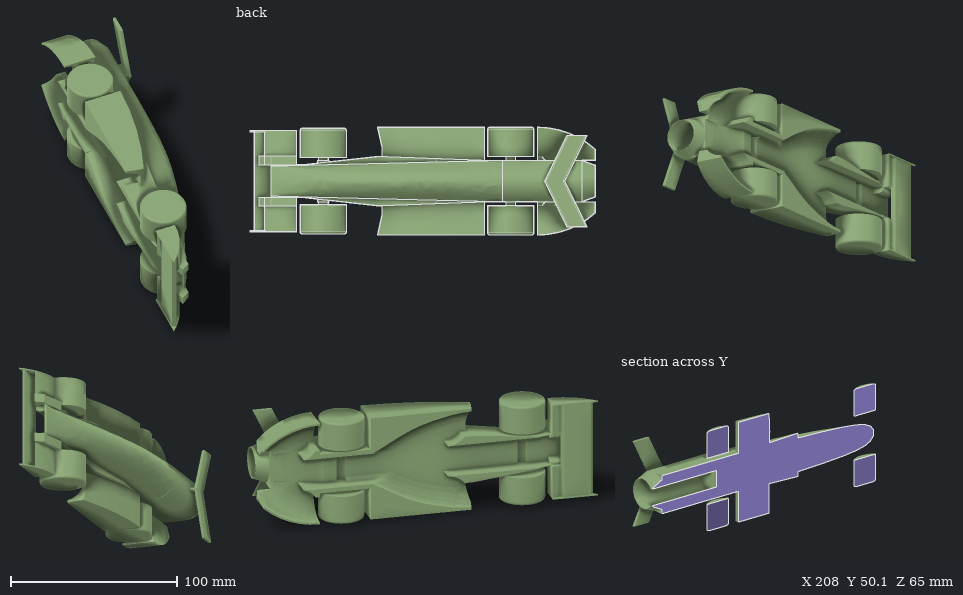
import cadquery as cq
import math


floor_y = -10.0
ceiling_y = 0.0
half_width = 32.5
tunnel_half_width = 9.75
leg_half_width = 12.5

wheel_diameter = 28.0
wheel_round = 1.5
axle_diameter = 6.0
collar_diameter = 7.0
rear_axle_x = 51.0
front_axle_x = 163.9
rear_wheel_z = (14.8, half_width)
front_wheel_z = (14.1, 31.9)

housing_radius = leg_half_width
housing_y = 19.0
housing_front_x = 56.0
tail_cone_length = 8.0
tail_radius = 9.6
chamber_diameter = 19.0
chamber_depth = 50.0

ramp_start_y = housing_y - housing_radius
ramp_end_x = 40.0
tunnel_round = 3.0
tunnel_round_end_x = 86.0

canopy_end_x = 195.5
canopy_base_start_y = 18.1
canopy_base_slope = -0.123
canopy_end_half_width = 9.0
canopy_tops = (
    (housing_front_x, housing_y + housing_radius),
    (90.0, 30.8),
    (118.0, 26.9),
    (148.0, 19.2),
    (172.0, 10.8),
    (canopy_end_x, 1.5),
)

leg_tail_x = 25.0
leg_tail_middle = (29.3, 11.7)
leg_step_x = 32.2
leg_top_y = 6.0

fender_length = 35.0
fender_radius = 52.4
fender_lip = 1.2
fender_scoop_radius = 15.3
fender_ceiling_y = floor_y + fender_scoop_radius
fender_top_y = 10.3
fender_top_slope = 0.24

pod_rear_x = 66.7
pod_front_x = 131.3
pod_front_inner_x = 128.6
pod_front_inner_z = 20.4
pod_top_y = 13.2
pod_front_y = 1.1
pod_undercut_y = -2.0
pod_undercut = 1.7
pod_top_middle = (104.0, 8.9)
pod_scoop_radius = 10.0
pod_scoop_path = ((69.0, 0.5), (82.2, 6.7), (98.0, 14.6), (115.5, 19.6), (133.0, 21.3))
pod_scoop_directions = ((1, 0.3), (1, 0))

leg_start_x = 115.0
leg_curve_middle = (121.5, 11.6)
leg_shoulder_x = 125.5
leg_shoulder_z = 14.9
leg_taper_x = 175.0
leg_front_half_width = 10.0
leg_chamfer_x = 171.2
leg_front_y = -7.1

wing_rear_x = 180.0
wing_length = 28.03
end_plate_z = 30.5
end_plate_thickness = 0.8
end_plate_top_y = 0.7
end_plate_bottom_y = -11.8
flap_top = ((wing_rear_x, 5.1), (188.0, 3.4), (canopy_end_x, 1.4))
flap_half_span = 15.0
flap_front_x = 199.3
flap_tip = (202.6, -3.6)
flap_rear_bottom_y = -10.9
plate_top_y = -9.2
plate_bottom_y = -11.1
plate_top_x = (185.4, 205.6)
plate_bottom_x = (187.2, 203.8)
pad_inner_z = 6.9
pad_bottom_y = -6.9
pad_front_x = 192.0
pad_round = 2.0

rear_wing_half_span = 27.5
rear_wing_tip_x = 5.1
rear_wing_root_x = 18.5
rear_wing_chord = 12.1
rear_wing_top_y = 36.12
rear_wing_thickness = 2.0
rear_wing_edge_round = 0.9
post_x = (18.3, 29.8)
post_thickness = 2.0


def plan(height):
    """Workplane lying flat at a height, with local x along X and local y along Z; extrudes downwards."""
    return cq.Workplane(cq.Plane(origin=(0, height, 0), xDir=(1, 0, 0), normal=(0, -1, 0)))


def side_profile(offset=0.0):
    """Workplane of a side elevation, with local axes X and Y; extrudes towards +Z."""
    return cq.Workplane("XY", origin=(0, 0, offset))


def mirrored(shape):
    return shape.union(shape.mirror("XY"))


def cross_cylinder(x, diameter, z_start, z_end):
    """Cylinder across the car at axle height."""
    return side_profile(z_start).center(x, 0).circle(diameter / 2).extrude(z_end - z_start)


def canopy_base(x):
    return canopy_base_start_y + canopy_base_slope * (x - housing_front_x)


def canopy_half_width(x):
    progress = (x - housing_front_x) / (canopy_end_x - housing_front_x)
    return housing_radius + (canopy_end_half_width - housing_radius) * progress


def make_housing():
    """Tail cone and round-topped housing with straight sides, and the tunnel ramp under it."""
    barrel = (
        cq.Workplane("YZ")
        .center(housing_y, 0)
        .circle(tail_radius)
        .workplane(offset=tail_cone_length)
        .circle(housing_radius)
        .loft()
        .union(
            cq.Workplane("YZ", origin=(tail_cone_length, housing_y, 0))
            .circle(housing_radius)
            .extrude(housing_front_x - tail_cone_length)
        )
    )
    ramp_run = ramp_end_x - tail_cone_length
    ramp_drop = ramp_start_y - ceiling_y
    ramp_radius = (ramp_run**2 + ramp_drop**2) / (2 * ramp_drop)
    ramp_middle_drop = ramp_radius - math.sqrt(ramp_radius**2 - (ramp_run / 2) ** 2)
    ramp = (
        side_profile(-tunnel_half_width)
        .moveTo(tail_cone_length, housing_y)
        .lineTo(tail_cone_length, ramp_start_y)
        .threePointArc(
            (tail_cone_length + ramp_run / 2, ramp_start_y - ramp_middle_drop),
            (ramp_end_x, ceiling_y),
        )
        .lineTo(housing_front_x, ceiling_y)
        .lineTo(housing_front_x, housing_y)
        .close()
        .extrude(2 * tunnel_half_width)
    )
    straight_side = (
        plan(housing_y)
        .polyline([
            (tail_cone_length, tunnel_half_width),
            (tail_cone_length, housing_radius),
            (housing_front_x, housing_radius),
            (housing_front_x, tunnel_half_width),
        ])
        .close()
        .extrude(housing_y - fender_ceiling_y)
    )
    return barrel.union(mirrored(straight_side)).union(ramp)


def make_rear_leg():
    """Leg from the fender to the pod, its tail end curving outwards."""
    return (
        plan(leg_top_y)
        .moveTo(leg_tail_x, tunnel_half_width)
        .threePointArc(leg_tail_middle, (leg_step_x, leg_shoulder_z))
        .lineTo(fender_length, leg_shoulder_z)
        .lineTo(fender_length, leg_half_width)
        .lineTo(pod_rear_x, leg_half_width)
        .lineTo(pod_rear_x, tunnel_half_width)
        .close()
        .extrude(leg_top_y - floor_y)
    )


def make_canopy():
    """Half-elliptical sections that shrink along the falling roof line."""
    sections = cq.Workplane("YZ")
    last_x = 0
    for x, top_y in canopy_tops:
        base_y = canopy_base(x)
        half = canopy_half_width(x)
        sections = (
            sections.workplane(offset=x - last_x)
            .moveTo(base_y, half)
            .lineTo(base_y, -half)
            .ellipseArc(top_y - base_y, half, -90, 90, startAtCurrent=True, sense=1)
            .close()
        )
        last_x = x
    return sections.loft(ruled=False, combine=True)


def make_spine():
    """Core below the canopy, with shoulders that run out to the pods and on to the nose."""
    core_outline = [
        (housing_front_x, canopy_half_width(housing_front_x)),
        (canopy_end_x, canopy_half_width(canopy_end_x)),
        (canopy_end_x, 0),
        (housing_front_x, 0),
    ]
    core = plan(canopy_base_start_y).polyline(core_outline).close().extrude(canopy_base_start_y - ceiling_y)
    shoulder_outline = [
        (housing_front_x, leg_half_width),
        (pod_rear_x, leg_half_width),
        (pod_front_x, leg_shoulder_z),
        (leg_taper_x, leg_front_half_width),
        (canopy_end_x, leg_front_half_width),
        (canopy_end_x, 0),
        (housing_front_x, 0),
    ]
    shoulder = plan(pod_top_y).polyline(shoulder_outline).close().extrude(pod_top_y - ceiling_y)
    below_canopy = (
        side_profile(-half_width)
        .polyline([
            (housing_front_x, ceiling_y),
            (housing_front_x, canopy_base(housing_front_x)),
            (canopy_end_x, canopy_base(canopy_end_x)),
            (canopy_end_x, ceiling_y),
        ])
        .close()
        .extrude(2 * half_width)
    )
    return mirrored(core.union(shoulder).intersect(below_canopy))


def make_fender():
    """Tail fender with a curved flank, a dished top and a quarter-round scoop swept under it."""
    centre_z = half_width - fender_radius
    tail_z = centre_z + math.sqrt(fender_radius**2 - fender_length**2)
    half_angle = math.asin(fender_length / fender_radius) / 2
    middle = (
        fender_length - fender_radius * math.sin(half_angle),
        centre_z + fender_radius * math.cos(half_angle),
    )
    blank = (
        plan(fender_top_y)
        .moveTo(0, leg_half_width)
        .lineTo(0, tail_z)
        .threePointArc(middle, (fender_length, half_width))
        .lineTo(fender_length, tunnel_half_width)
        .lineTo(tail_cone_length, tunnel_half_width)
        .lineTo(tail_cone_length, leg_half_width)
        .close()
        .extrude(fender_top_y - floor_y)
    )
    top_drop = fender_top_slope * half_width
    above_top = (
        cq.Workplane("YZ")
        .polyline([
            (fender_top_y, half_width),
            (fender_top_y - top_drop, 0),
            (fender_top_y, 0),
        ])
        .close()
        .extrude(fender_length)
    )
    scoop_edge = fender_radius - fender_lip
    scoop_centre = scoop_edge - fender_scoop_radius
    scoop = (
        cq.Workplane("YZ", origin=(fender_length, 0, centre_z))
        .moveTo(floor_y, 0)
        .lineTo(floor_y, scoop_edge)
        .radiusArc((fender_ceiling_y, scoop_centre), fender_scoop_radius)
        .lineTo(fender_ceiling_y, 0)
        .close()
        .revolve(360, (0, 0), (1, 0))
    )
    return blank.cut(above_top).cut(scoop)


def make_pod():
    """Side pod with an arched top and a slanted front, before its scoop is cut."""
    outline = [
        (pod_rear_x, tunnel_half_width),
        (pod_rear_x, half_width),
        (pod_front_x, half_width),
        (pod_front_inner_x, pod_front_inner_z),
        (pod_front_inner_x, tunnel_half_width),
    ]
    blank = plan(pod_top_y).polyline(outline).close().extrude(pod_top_y - floor_y)
    side = (
        side_profile()
        .moveTo(pod_rear_x, floor_y)
        .lineTo(pod_rear_x, pod_top_y)
        .threePointArc(pod_top_middle, (pod_front_x, pod_front_y))
        .lineTo(pod_front_x, pod_undercut_y)
        .lineTo(pod_front_x - pod_undercut, floor_y)
        .close()
        .extrude(half_width)
    )
    return blank.intersect(side)


def make_tunnel_corner():
    """Concave rounding where the tunnel ceiling meets its wall."""
    return (
        cq.Workplane("YZ", origin=(rear_axle_x + axle_diameter / 2, ceiling_y, 0))
        .moveTo(0, tunnel_half_width - tunnel_round)
        .lineTo(0, tunnel_half_width)
        .lineTo(-tunnel_round, tunnel_half_width)
        .radiusArc((0, tunnel_half_width - tunnel_round), tunnel_round)
        .close()
        .extrude(tunnel_round_end_x - rear_axle_x - axle_diameter / 2)
    )


def make_pod_scoop():
    """Round channel swept along the pod, open inwards to the middle of the car."""
    start = pod_scoop_path[0]
    channel = (
        cq.Workplane("YZ", origin=(start[0], floor_y, start[1]))
        .circle(pod_scoop_radius)
        .sweep(plan(floor_y).spline(pod_scoop_path, tangents=pod_scoop_directions))
    )
    inside = (
        plan(ceiling_y)
        .moveTo(*start)
        .spline(pod_scoop_path[1:], tangents=pod_scoop_directions, includeCurrent=True)
        .lineTo(pod_scoop_path[-1][0], 0)
        .lineTo(start[0], 0)
        .close()
        .extrude(ceiling_y - floor_y)
    )
    return channel.union(inside)


def make_nose_leg():
    """Leg beside the nose: a curved tail end, a flat shoulder and a taper to the wing."""
    outline = (
        plan(ceiling_y)
        .moveTo(leg_start_x, tunnel_half_width)
        .threePointArc(leg_curve_middle, (leg_shoulder_x, leg_shoulder_z))
        .lineTo(pod_front_x, leg_shoulder_z)
        .lineTo(leg_taper_x, leg_front_half_width)
        .lineTo(wing_rear_x, leg_front_half_width)
        .lineTo(wing_rear_x, tunnel_half_width)
        .close()
        .extrude(ceiling_y - floor_y)
    )
    chamfer = (
        side_profile()
        .polyline([(leg_chamfer_x, floor_y), (wing_rear_x, leg_front_y), (wing_rear_x, floor_y)])
        .close()
        .extrude(half_width)
    )
    collar = cross_cylinder(front_axle_x, collar_diameter, tunnel_half_width, leg_half_width)
    return outline.cut(chamfer).union(collar)


def make_wing_side():
    """Wing block under an arched top, end plate, raised flap and mounting pad on one side of the nose."""
    height = end_plate_top_y - end_plate_bottom_y
    arc_radius = (wing_length**2 + height**2) / (2 * height)
    arc_middle_drop = arc_radius - math.sqrt(arc_radius**2 - (wing_length / 2) ** 2)

    def arched_side(z_start, z_end):
        return (
            side_profile(z_start)
            .moveTo(wing_rear_x, end_plate_bottom_y)
            .lineTo(wing_rear_x, end_plate_top_y)
            .threePointArc(
                (wing_rear_x + wing_length / 2, end_plate_top_y - arc_middle_drop),
                (wing_rear_x + wing_length, end_plate_bottom_y),
            )
            .close()
            .extrude(z_end - z_start)
        )

    end_plate_inner_z = end_plate_z - end_plate_thickness
    under_wing = (
        side_profile(tunnel_half_width)
        .moveTo(wing_rear_x, flap_rear_bottom_y)
        .lineTo(*flap_tip)
        .lineTo(wing_rear_x + wing_length, flap_tip[1])
        .lineTo(wing_rear_x + wing_length, end_plate_bottom_y)
        .lineTo(wing_rear_x, end_plate_bottom_y)
        .close()
        .extrude(end_plate_z - tunnel_half_width)
    )
    block = arched_side(tunnel_half_width, end_plate_inner_z).cut(under_wing)
    end_plate = arched_side(end_plate_inner_z, end_plate_z)
    flap = (
        side_profile(tunnel_half_width)
        .moveTo(wing_rear_x, flap_rear_bottom_y)
        .lineTo(*flap_top[0])
        .threePointArc(flap_top[1], flap_top[2])
        .lineTo(flap_front_x, flap_top[2][1])
        .lineTo(*flap_tip)
        .close()
        .extrude(flap_half_span - tunnel_half_width)
    )
    pad = (
        side_profile(pad_inner_z)
        .moveTo(wing_rear_x, pad_bottom_y)
        .lineTo(wing_rear_x, ceiling_y)
        .lineTo(pad_front_x, ceiling_y)
        .lineTo(pad_front_x, pad_bottom_y)
        .close()
        .extrude(leg_front_half_width - pad_inner_z)
        .edges("|X and <Y and <Z")
        .fillet(pad_round)
    )
    return block.union(end_plate).union(flap).union(pad)


def make_wing_plate():
    """Lower plate across the front wing, bevelled at both edges."""
    return (
        side_profile(-end_plate_z)
        .polyline([
            (plate_top_x[0], plate_top_y),
            (plate_top_x[1], plate_top_y),
            (plate_bottom_x[1], plate_bottom_y),
            (plate_bottom_x[0], plate_bottom_y),
        ])
        .close()
        .extrude(2 * end_plate_z)
    )


def make_rear_wing():
    """Swept wing with rounded leading and trailing edges, on a post with round ends."""
    sweep = rear_wing_root_x - rear_wing_tip_x
    half = (
        plan(rear_wing_top_y)
        .polyline([
            (rear_wing_root_x, 0),
            (rear_wing_tip_x, rear_wing_half_span),
            (rear_wing_tip_x + rear_wing_chord, rear_wing_half_span),
            (rear_wing_root_x + rear_wing_chord, 0),
        ])
        .close()
        .extrude(rear_wing_thickness)
        .edges(cq.selectors.ParallelDirSelector(cq.Vector(-sweep, 0, rear_wing_half_span)))
        .fillet(rear_wing_edge_round)
    )
    post_height = rear_wing_top_y - rear_wing_thickness / 2 - housing_y - housing_radius / 2
    post = (
        plan(rear_wing_top_y - rear_wing_thickness / 2)
        .center(sum(post_x) / 2, 0)
        .slot2D(post_x[1] - post_x[0], post_thickness)
        .extrude(post_height)
    )
    return mirrored(half).union(post)


def make_car_body():
    body = make_housing().union(make_canopy()).union(make_spine())
    for half_part in (make_pod(), make_tunnel_corner(), make_rear_leg(), make_fender()):
        body = body.union(mirrored(half_part))
    body = body.cut(mirrored(make_pod_scoop()))
    for half_part in (make_nose_leg(), make_wing_side()):
        body = body.union(mirrored(half_part))
    body = body.union(make_wing_plate()).union(make_rear_wing())

    chamber = cq.Workplane("YZ").center(housing_y, 0).circle(chamber_diameter / 2).extrude(chamber_depth)
    body = body.cut(chamber)
    for axle_x in (rear_axle_x, front_axle_x):
        body = body.cut(cross_cylinder(axle_x, axle_diameter, -tunnel_half_width, tunnel_half_width))
    return body


def make_wheel(axle_x, inner_z, outer_z):
    """Wheel with a rounded outer rim and a stub axle that butts against the side of the leg."""
    wheel = cross_cylinder(axle_x, wheel_diameter, inner_z, outer_z).faces(">Z").edges().fillet(wheel_round)
    stub = cross_cylinder(axle_x, axle_diameter, leg_half_width, inner_z)
    return wheel.union(stub)


car_body = make_car_body()

wheels = []
for axle_x, wheel_z in ((rear_axle_x, rear_wheel_z), (front_axle_x, front_wheel_z)):
    wheel = make_wheel(axle_x, *wheel_z)
    wheels.append(wheel.val())
    wheels.append(wheel.mirror("XY").val())

result = cq.Compound.makeCompound([car_body.val(), *wheels])